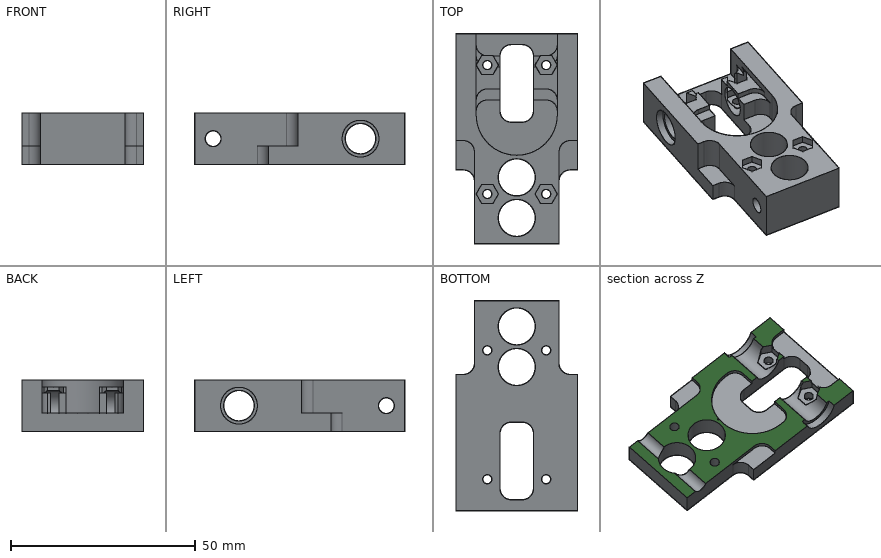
import cadquery as cq

length = 57.0
width = 33.0
height = 14.0
mid_height = height / 2
corner_radius = 3.0
selection_margin = 0.55

nose_width = 22.95
body_length = 29.0
shoulder_length = 37.0
shoulder_top = 5.0

channel_width = 22.0
channel_length = 33.0
channel_floor = shoulder_top

bore_y = -12.0
bridge_length = 11.95
bridge_top = 10.5
crown_length = 6.0
crown_top = 12.0

window_width = 9.0
window_rear = 3.0
window_length = 21.0

bore_diameter = 8.2
counterbore_diameter = 10.0
counterbore_depth = 2.0

pin_diameter = 4.2
pin_y = -52.0

rod_diameter = 10.0
rod_positions = (-39.0, -50.0)

screw_diameter = 2.4
screw_spacing = 15.95
nut_corner_diameter = 6.05
rear_screw_y = -8.55
front_screw_y = -43.5
rear_nut_floor = 2.85
front_nut_floor = 12.0


def box(size_x, rear_y, size_y, bottom, top):
    """Box centred on x = 0 that runs forward from rear_y."""
    return (
        cq.Workplane("XY", origin=(0, rear_y - size_y / 2, bottom))
        .rect(size_x, size_y)
        .extrude(top - bottom)
    )


def stepped_plan(wide_length, bottom, top):
    """Wide part and nose in one plan, with rounded inside corners where they meet."""
    corner_reach = nose_width / 2 + selection_margin
    plan = box(width, 0, wide_length, bottom, top).union(box(nose_width, 0, length, bottom, top))
    at_meeting_plane = cq.selectors.BoxSelector(
        (-corner_reach, -wide_length - selection_margin, bottom),
        (corner_reach, -wide_length + selection_margin, top),
    )
    return plan.edges("|Z").edges(at_meeting_plane).fillet(corner_radius)


def channel(bottom):
    """Round-ended channel cutter from the given level to the top."""
    end_radius = channel_width / 2
    straight = channel_length - end_radius
    end = cq.Workplane("XY", origin=(0, -straight, bottom)).circle(end_radius).extrude(height - bottom)
    return box(channel_width, 0, straight, bottom, height).union(end)


def cross_step(step_length, top):
    """Wall-to-wall step centred on the cross bore, flared to meet the channel walls."""
    rear_y = bore_y + step_length / 2
    front_y = rear_y - step_length
    space = 2 * corner_radius
    step = box(channel_width, rear_y + corner_radius, step_length + 2 * corner_radius, 0, top)
    rear_space = box(channel_width, rear_y + space, space, 0, top)
    rear_space = rear_space.edges("|Z and <Y").fillet(corner_radius)
    front_space = box(channel_width, front_y, space, 0, top)
    front_space = front_space.edges("|Z and >Y").fillet(corner_radius)
    return step.cut(rear_space).cut(front_space)


def cross_hole(diameter, y):
    """Hole along X through the full width at mid height."""
    return cq.Workplane("YZ", origin=(-width / 2, y, mid_height)).circle(diameter / 2).extrude(width)


def nut_seat(x, y, floor):
    """Vertical screw hole with a hexagonal nut pocket open to the top."""
    hole = cq.Workplane("XY", origin=(x, y, 0)).circle(screw_diameter / 2).extrude(height)
    pocket = cq.Workplane("XY", origin=(x, y, floor)).polygon(6, nut_corner_diameter).extrude(height - floor)
    return hole.union(pocket)


body = stepped_plan(shoulder_length, 0, shoulder_top)
body = body.union(stepped_plan(body_length, shoulder_top, height))
body = body.cut(channel(channel_floor))
body = body.union(cross_step(bridge_length, bridge_top))
body = body.union(cross_step(crown_length, crown_top))

window = box(window_width, -window_rear, window_length, 0, height).edges("|Z").fillet(corner_radius)
body = body.cut(window)

body = body.cut(cross_hole(bore_diameter, bore_y))
between_seats = cq.Workplane("XY", origin=(0, bore_y, mid_height)).box(
    width - 2 * counterbore_depth, counterbore_diameter, counterbore_diameter
)
body = body.cut(cross_hole(counterbore_diameter, bore_y).cut(between_seats))
body = body.cut(cross_hole(pin_diameter, pin_y))

for rod_y in rod_positions:
    rod_hole = cq.Workplane("XY", origin=(0, rod_y, 0)).circle(rod_diameter / 2).extrude(height)
    body = body.cut(rod_hole)

for screw_y, nut_floor in ((rear_screw_y, rear_nut_floor), (front_screw_y, front_nut_floor)):
    for side in (-1, 1):
        body = body.cut(nut_seat(side * screw_spacing / 2, screw_y, nut_floor))

result = body